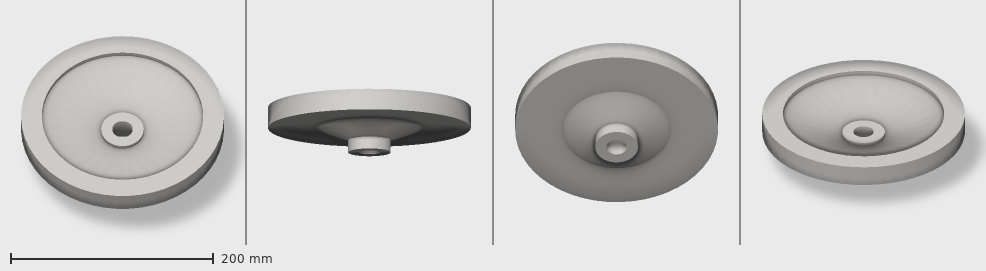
import cadquery as cq

rim_diameter = 200.0
rim_inner_diameter = 159.0
rim_height = 20.5

total_height = 45.0
hub_diameter = 42.0
hub_top = 24.0
bore_diameter = 20.0

web_bottom_at_hub = 12.0
web_bottom_radius_at_rim = 53.0
web_top_at_hub = 20.0
web_top_at_rim = 40.0

rim_radius = rim_diameter / 2
rim_inner_radius = rim_inner_diameter / 2
rim_bottom = total_height - rim_height
hub_radius = hub_diameter / 2
bore_radius = bore_diameter / 2

result = (
    cq.Workplane("XZ")
    .moveTo(bore_radius, 0)
    .lineTo(hub_radius, 0)
    .lineTo(hub_radius, web_bottom_at_hub)
    .lineTo(web_bottom_radius_at_rim, rim_bottom)
    .lineTo(rim_radius, rim_bottom)
    .lineTo(rim_radius, total_height)
    .lineTo(rim_inner_radius, total_height)
    .lineTo(rim_inner_radius, web_top_at_rim)
    .lineTo(hub_radius, web_top_at_hub)
    .lineTo(hub_radius, hub_top)
    .lineTo(bore_radius, hub_top)
    .close()
    .revolve(360, (0, 0, 0), (0, 1, 0))
)